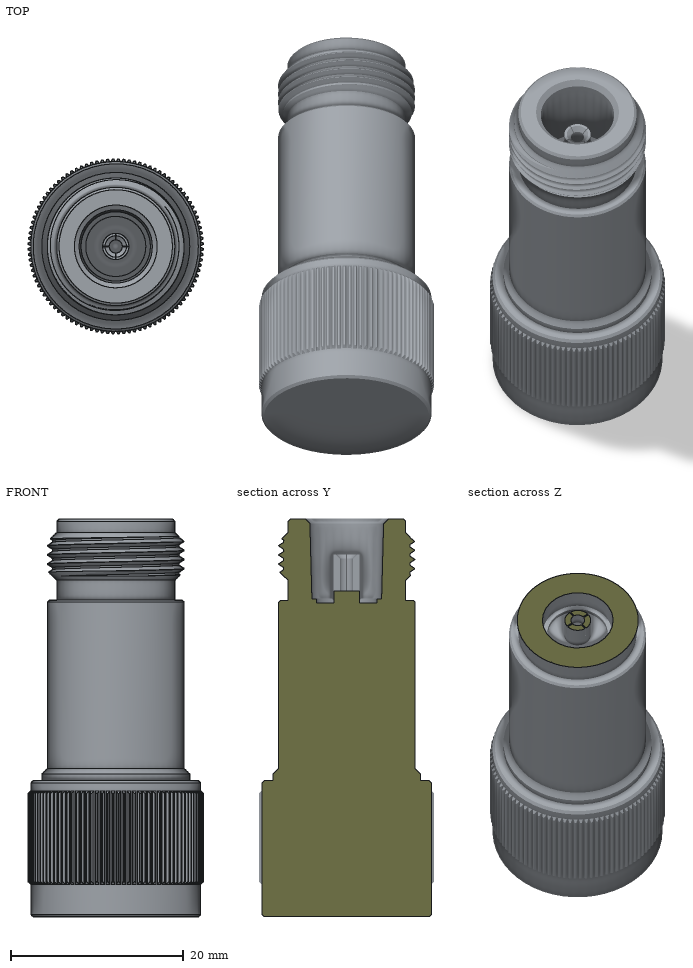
import cadquery as cq
import math

TOTAL_LENGTH = 46.2
EDGE_CHAMFER = 0.3

NUT_DIAMETER = 19.75
NUT_TOP = 15.85
KNURL_DIAMETER = 20.35
KNURL_BOTTOM = 3.8
KNURL_TOP = 14.65
KNURL_TEETH = 100

COLLAR_DIAMETER = 17.2
COLLAR_TOP = 16.6
BODY_DIAMETER = 15.9
BODY_TOP = 36.78
BODY_CHAMFER = 0.25

NECK_DIAMETER = 13.7
THREAD_DIAMETER = BODY_DIAMETER
THREAD_ROOT_DIAMETER = 14.7
THREAD_BOTTOM = 39.1
THREAD_TOP = 44.65
THREAD_PITCH = 1.05
THREAD_ROOT_FLAT = 0.25
THREAD_CREST_FLAT = 0.05
CREST_START = 38.3
THREAD_TURNS = 7
RIDGE_EMBED = 0.1
ENVELOPE_CLEARANCE = 0.1

SOCKET_ENTRY_DIAMETER = 8.5
SOCKET_FLOOR_DIAMETER = 8.05
SOCKET_CHAMFER = 0.55
SOCKET_DEPTH = 9.25
FLOOR_RECESS_DIAMETER = 6.98
FLOOR_RECESS_DEPTH = 0.45

CONTACT_DIAMETER = 3.05
CONTACT_TIP = 42.05
CONTACT_HOLE_DIAMETER = 1.52
CONTACT_HOLE_DEPTH = 4.15
CONTACT_FUNNEL_DIAMETER = 2.5
CONTACT_SLOT_WIDTH = 0.1


def revolved(profile):
    """Turn a closed outline of (radius, height) points about the Z axis."""
    return cq.Workplane("XZ").polyline(profile).close().revolve(360, (0, 0, 0), (0, 1, 0))


def make_nut():
    radius = NUT_DIAMETER / 2
    nut = cq.Workplane("XY").circle(radius).extrude(NUT_TOP)
    return nut.faces("<Z or >Z").chamfer(EDGE_CHAMFER)


def make_knurl():
    """Ring of trapezoidal teeth: root, flank, land and flank each take a quarter of the pitch."""
    root_radius = NUT_DIAMETER / 2
    crest_radius = KNURL_DIAMETER / 2
    tooth_angle = 2 * math.pi / KNURL_TEETH
    outline = []
    for tooth in range(KNURL_TEETH):
        corners = ((1, root_radius), (3, crest_radius), (5, crest_radius), (7, root_radius))
        for eighths, radius in corners:
            angle = (tooth + eighths / 8) * tooth_angle
            outline.append((radius * math.cos(angle), radius * math.sin(angle)))
    teeth = (
        cq.Workplane("XY")
        .workplane(offset=KNURL_BOTTOM)
        .polyline(outline)
        .close()
        .extrude(KNURL_TOP - KNURL_BOTTOM)
    )
    bevel = crest_radius - root_radius
    envelope = revolved([
        (0, KNURL_BOTTOM),
        (root_radius, KNURL_BOTTOM),
        (crest_radius, KNURL_BOTTOM + bevel),
        (crest_radius, KNURL_TOP - bevel),
        (root_radius, KNURL_TOP),
        (0, KNURL_TOP),
    ])
    return teeth.intersect(envelope)


def make_body():
    """Collar, plain body, neck and smooth tip."""
    collar_radius = COLLAR_DIAMETER / 2
    body_radius = BODY_DIAMETER / 2
    neck_radius = NECK_DIAMETER / 2
    return revolved([
        (0, KNURL_BOTTOM),
        (collar_radius, KNURL_BOTTOM),
        (collar_radius, COLLAR_TOP),
        (body_radius, COLLAR_TOP + collar_radius - body_radius),
        (body_radius, BODY_TOP - BODY_CHAMFER),
        (body_radius - BODY_CHAMFER, BODY_TOP),
        (neck_radius, BODY_TOP),
        (neck_radius, TOTAL_LENGTH - EDGE_CHAMFER),
        (neck_radius - EDGE_CHAMFER, TOTAL_LENGTH),
        (0, TOTAL_LENGTH),
    ])


def make_thread():
    """Right-handed ridge on a core, trimmed together at both ends by 45 degree cones."""
    root_radius = THREAD_ROOT_DIAMETER / 2
    crest_radius = THREAD_DIAMETER / 2
    neck_radius = NECK_DIAMETER / 2
    depth = crest_radius - root_radius
    crest_half = THREAD_CREST_FLAT / 2
    root_half = (THREAD_PITCH - THREAD_ROOT_FLAT) / 2
    base_radius = root_radius - RIDGE_EMBED
    base_half = root_half + RIDGE_EMBED * (root_half - crest_half) / depth
    helix = cq.Wire.makeHelix(
        THREAD_PITCH, THREAD_TURNS * THREAD_PITCH, base_radius, cq.Vector(0, 0, CREST_START)
    )
    ridge = (
        cq.Workplane("XZ")
        .polyline([
            (base_radius, CREST_START - base_half),
            (crest_radius, CREST_START - crest_half),
            (crest_radius, CREST_START + crest_half),
            (base_radius, CREST_START + base_half),
        ])
        .close()
        .sweep(cq.Workplane(helix), isFrenet=True)
    )
    core = (
        cq.Workplane("XY")
        .workplane(offset=CREST_START)
        .circle(root_radius)
        .extrude(THREAD_TURNS * THREAD_PITCH)
    )
    envelope_radius = crest_radius + ENVELOPE_CLEARANCE
    bevel = envelope_radius - neck_radius
    envelope = revolved([
        (0, THREAD_BOTTOM),
        (neck_radius, THREAD_BOTTOM),
        (envelope_radius, THREAD_BOTTOM + bevel),
        (envelope_radius, THREAD_TOP - bevel),
        (neck_radius, THREAD_TOP),
        (0, THREAD_TOP),
    ])
    return core.union(ridge).intersect(envelope)


def make_socket():
    """Chamfered mouth, tapering bore and shallow recess in the floor."""
    entry_radius = SOCKET_ENTRY_DIAMETER / 2
    floor_radius = SOCKET_FLOOR_DIAMETER / 2
    recess_radius = FLOOR_RECESS_DIAMETER / 2
    entry = TOTAL_LENGTH - SOCKET_CHAMFER
    floor = TOTAL_LENGTH - SOCKET_DEPTH
    recess_floor = floor - FLOOR_RECESS_DEPTH
    return revolved([
        (0, recess_floor),
        (recess_radius, recess_floor),
        (recess_radius, floor),
        (floor_radius, floor),
        (entry_radius, entry),
        (entry_radius + SOCKET_CHAMFER, TOTAL_LENGTH),
        (0, TOTAL_LENGTH),
    ])


def make_contact():
    """Hollow pin with a funnelled mouth, split by narrow slots along X and Y."""
    hole_radius = CONTACT_HOLE_DIAMETER / 2
    pin_radius = CONTACT_DIAMETER / 2
    funnel_radius = CONTACT_FUNNEL_DIAMETER / 2
    base = TOTAL_LENGTH - SOCKET_DEPTH - FLOOR_RECESS_DEPTH
    hole_floor = CONTACT_TIP - CONTACT_HOLE_DEPTH
    pin = revolved([
        (0, base),
        (pin_radius, base),
        (pin_radius, CONTACT_TIP),
        (funnel_radius, CONTACT_TIP),
        (hole_radius, CONTACT_TIP - (funnel_radius - hole_radius)),
        (hole_radius, hole_floor),
        (0, hole_floor),
    ])
    for slot_size in ((CONTACT_DIAMETER, CONTACT_SLOT_WIDTH), (CONTACT_SLOT_WIDTH, CONTACT_DIAMETER)):
        slot = (
            cq.Workplane("XY")
            .workplane(offset=hole_floor)
            .rect(*slot_size)
            .extrude(CONTACT_HOLE_DEPTH)
        )
        pin = pin.cut(slot)
    return pin


shell = make_body().union(make_thread()).cut(make_socket())
result = shell.union(make_nut()).union(make_knurl()).union(make_contact())